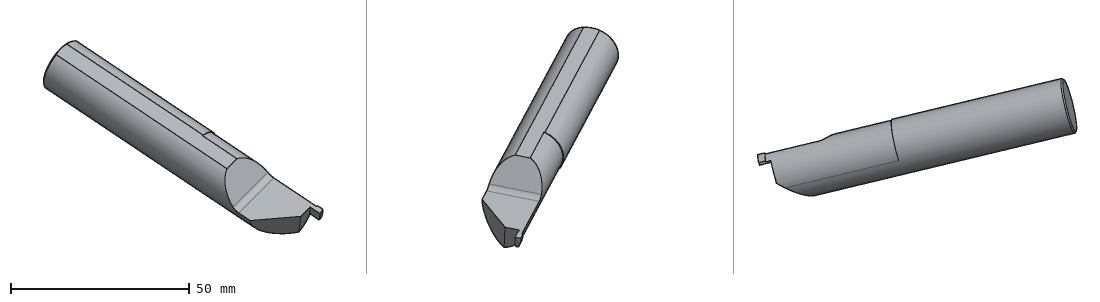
import cadquery as cq
import math

length = 88.9
diameter = 15.8
radius = diameter / 2
rear_chamfer = 0.45
flat_depth = 0.4

relief_start = 49.8
relief_offset = 0.3

ramp_top_x = 62.2
ramp_angle = 45.0
notch_fillet = 3.0

end_x = 85.25
end_lean = 0.45
bevel_start_x = 75.1

tip_inner_y = 6.3
tip_outer_y = 8.0
tip_step_x = 86.5
tip_depth = 3.5
tip_root_depth = 3.3
tip_lean = 0.45
tip_skew = 0.4


def cylinder(cylinder_radius, start_x, end, offset_y=0.0):
    """Cylinder along X between two stations, shifted sideways by offset_y."""
    return cq.Workplane("YZ", origin=(start_x, offset_y, 0)).circle(cylinder_radius).extrude(end - start_x)


def make_round_body():
    """Round shank, relieved front portion and slightly larger head for the tip."""
    shank = cylinder(radius, 0, relief_start).faces("<X").chamfer(rear_chamfer)
    relieved = cylinder(radius, relief_start, tip_step_x).intersect(
        cylinder(radius, relief_start, tip_step_x, -relief_offset)
    )
    head = cylinder(tip_outer_y, tip_step_x, length)
    return shank.union(relieved).union(head)


def cut_flat(body):
    """Mill the locating flat along the top."""
    flat_z = radius - flat_depth
    cutter = cq.Workplane("XY").workplane(offset=flat_z).rect(3 * length, 2 * diameter).extrude(radius)
    return body.cut(cutter)


def cut_notch(body):
    """Remove the upper half at the front, leaving a ramp blended into the cutting face."""
    rise = radius - flat_depth
    floor_corner_x = ramp_top_x + rise / math.tan(math.radians(ramp_angle))
    overshoot = radius
    notch = (
        cq.Workplane("XZ")
        .moveTo(floor_corner_x, 0)
        .lineTo(2 * length, 0)
        .lineTo(2 * length, rise + overshoot)
        .lineTo(ramp_top_x - overshoot / math.tan(math.radians(ramp_angle)), rise + overshoot)
        .close()
        .extrude(diameter, both=True)
        .edges(cq.selectors.NearestToPointSelector((floor_corner_x, 0, 0)))
        .fillet(notch_fillet)
    )
    return body.cut(notch)


def cut_bevel(body):
    """Cut the front -Y corner at 45 degrees."""
    size = diameter
    bevel = (
        cq.Workplane("XY")
        .moveTo(bevel_start_x - size, -radius - size)
        .lineTo(bevel_start_x + size, -radius - size)
        .lineTo(bevel_start_x + size, -radius + size)
        .close()
        .extrude(diameter, both=True)
    )
    return body.cut(bevel)


def make_tip_envelope():
    """Space kept for the thin cutting tip, open above and on its outer side."""
    plan_slope = tip_skew / (tip_outer_y - tip_inner_y)
    outer_y = diameter
    back_x = relief_start
    plan = (
        cq.Workplane("XY")
        .moveTo(back_x, tip_inner_y)
        .lineTo(length, tip_inner_y)
        .lineTo(length - plan_slope * (outer_y - tip_inner_y), outer_y)
        .lineTo(back_x, outer_y)
        .close()
        .extrude(diameter, both=True)
    )
    side = (
        cq.Workplane("XZ")
        .moveTo(back_x, diameter)
        .lineTo(length, diameter)
        .lineTo(length, 0)
        .lineTo(length - tip_lean, -tip_depth)
        .lineTo(end_x, -tip_root_depth)
        .lineTo(back_x, -tip_root_depth)
        .close()
        .extrude(2 * diameter, both=True)
    )
    return plan.intersect(side)


def cut_front(body):
    """Trim to the leaning front face, leaving only the tip standing beyond it."""
    lean_slope = end_lean / radius
    front = (
        cq.Workplane("XZ")
        .moveTo(end_x - lean_slope * diameter, -diameter)
        .lineTo(2 * length, -diameter)
        .lineTo(2 * length, diameter)
        .lineTo(end_x + lean_slope * diameter, diameter)
        .close()
        .extrude(diameter, both=True)
    )
    return body.cut(front.cut(make_tip_envelope()))


body = cut_flat(make_round_body())
body = cut_notch(body)
body = cut_bevel(body)
result = cut_front(body)